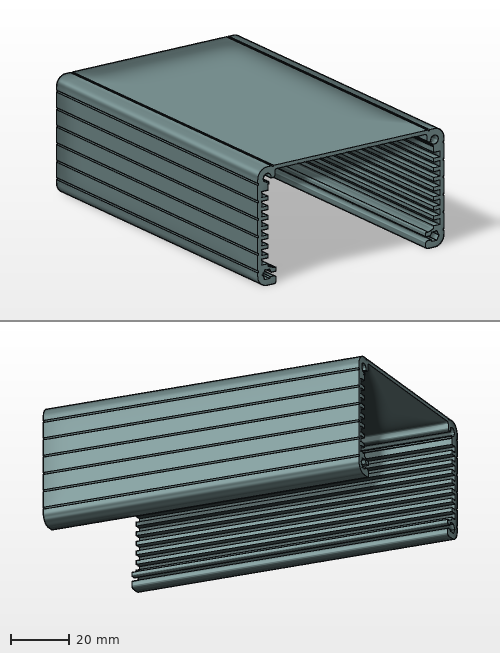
import cadquery as cq

length = 120.0
width = 78.0
height = 43.0
corner_radius = 4.0
half_width = width / 2
half_height = height / 2

top_thickness = 1.4
side_thickness = 1.75
rail_depth = 4.3

channel_radius = 1.6
hexagon_sides = 6
hexagon_circumradius = 1.95

stub_inner_offset = 5.6
stub_outer_offset = 7.2
stub_drop = 4.4
stub_root_radius = 0.8
stub_end_radius = 0.8
nose_offset = 4.7
nose_top_drop = 5.8
nose_bottom_drop = 6.4

slot_count = 8
slot_pitch = 3.5
slot_width = 2.1
slots_top_drop = 8.6
slots_top = half_height - slots_top_drop
slots_bottom = slots_top - (slot_count - 1) * slot_pitch - slot_width

lip_offset = 7.75
slit_bottom = 2.9
slit_top = 4.4
lip_top = 5.95
lip_slope_top = 6.8
lip_slope_end_offset = 6.6
slope_start_radius = 0.9
lower_lip_radius = 1.0
upper_lip_radius = 0.4

groove_radius = 0.35
side_groove_count = 6
side_groove_span = 31.7
groove_pitch = side_groove_span / (side_groove_count - 1)
top_groove_offset = groove_pitch


def box_section(offset_start, offset_end, z_bottom, z_top):
    """Length-long block on the +Y side; offsets run inward from the outer side face."""
    depth = offset_end - offset_start
    middle_y = half_width - (offset_start + offset_end) / 2
    block = cq.Workplane("XY").box(length, depth, z_top - z_bottom)
    return block.translate((0, middle_y, (z_top + z_bottom) / 2))


def prism(points):
    """Length-long prism on the +Y side from (offset inward, z) points."""
    outline = [(half_width - offset, z) for offset, z in points]
    return cq.Workplane("YZ").polyline(outline).close().extrude(length / 2, both=True)


def rod(y, z, radius):
    """Length-long cylinder along X."""
    return cq.Workplane("YZ").center(y, z).circle(radius).extrude(length / 2, both=True)


def fillet_at(body, offset, z, radius):
    """Round the lengthwise edge that runs through the given inward offset and height."""
    edge = cq.selectors.NearestToPointSelector((0, half_width - offset, z))
    return body.edges("|X").edges(edge).fillet(radius)


def both_sides(body):
    """Join a +Y side body with its mirror image."""
    return body.union(body.mirror("XZ"))


def outer_block():
    """Full envelope with its lengthwise corners rounded."""
    block = cq.Workplane("XY").box(length, width, height)
    return block.edges("|X").fillet(corner_radius)


def upper_corner():
    """Solid corner above the slots with the stub, the nose and the screw channel."""
    channel_z = half_height - corner_radius
    stub_bottom = half_height - stub_drop
    plate_bottom = half_height - top_thickness
    plate_overlap = stub_outer_offset + stub_root_radius + top_thickness
    block = prism([
        (0, half_height),
        (plate_overlap, half_height),
        (plate_overlap, plate_bottom),
        (stub_outer_offset, plate_bottom),
        (stub_outer_offset, stub_bottom),
        (stub_inner_offset, stub_bottom),
        (corner_radius, channel_z),
        (nose_offset, half_height - nose_top_drop),
        (nose_offset, half_height - nose_bottom_drop),
        (rail_depth, half_height - nose_bottom_drop),
        (rail_depth, slots_top),
        (0, slots_top),
    ])
    block = fillet_at(block, stub_outer_offset, plate_bottom, stub_root_radius)
    block = fillet_at(block, stub_outer_offset, stub_bottom, stub_end_radius)
    return block.cut(rod(half_width - corner_radius, channel_z, channel_radius))


def finned_wall():
    """Side wall between the two corners, with the card slots cut into its inner face."""
    wall = box_section(0, rail_depth, slots_bottom, slots_top)
    for index in range(slot_count):
        slot_top = slots_top - index * slot_pitch
        wall = wall.cut(box_section(side_thickness, rail_depth, slot_top - slot_width, slot_top))
    return wall


def lower_corner():
    """Solid corner below the slots: screw channel open through a slit between two lips."""
    bottom = -half_height
    block = prism([
        (0, slots_bottom),
        (rail_depth, slots_bottom),
        (rail_depth, bottom + lip_slope_top),
        (lip_slope_end_offset, bottom + lip_top),
        (lip_offset, bottom + lip_top),
        (lip_offset, bottom),
        (0, bottom),
    ])
    block = block.cut(box_section(corner_radius, lip_offset, bottom + slit_bottom, bottom + slit_top))
    block = fillet_at(block, rail_depth, bottom + lip_slope_top, slope_start_radius)
    for lip_z in (bottom + slit_top, bottom + lip_top):
        block = fillet_at(block, lip_offset, lip_z, upper_lip_radius)
    for lip_z in (bottom, bottom + slit_bottom):
        block = fillet_at(block, lip_offset, lip_z, lower_lip_radius)
    hexagon = (
        cq.Workplane("YZ")
        .center(half_width - corner_radius, bottom + corner_radius)
        .polygon(hexagon_sides, 2 * hexagon_circumradius)
        .extrude(length / 2, both=True)
    )
    return block.cut(hexagon)


def cut_outer_grooves(body):
    """Cut the lengthwise grooves into the top face and both side faces."""
    top_groove_y = half_width - top_groove_offset
    for side in (-1, 1):
        body = body.cut(rod(side * top_groove_y, half_height, groove_radius))
        for index in range(side_groove_count):
            groove_z = index * groove_pitch - side_groove_span / 2
            body = body.cut(rod(side * half_width, groove_z, groove_radius))
    return body


top_plate = cq.Workplane("XY").box(length, width, top_thickness)
top_plate = top_plate.translate((0, 0, half_height - top_thickness / 2))
side_wall = upper_corner().union(finned_wall()).union(lower_corner())
cover = top_plate.union(both_sides(side_wall))
cover = cover.intersect(outer_block())
result = cut_outer_grooves(cover)